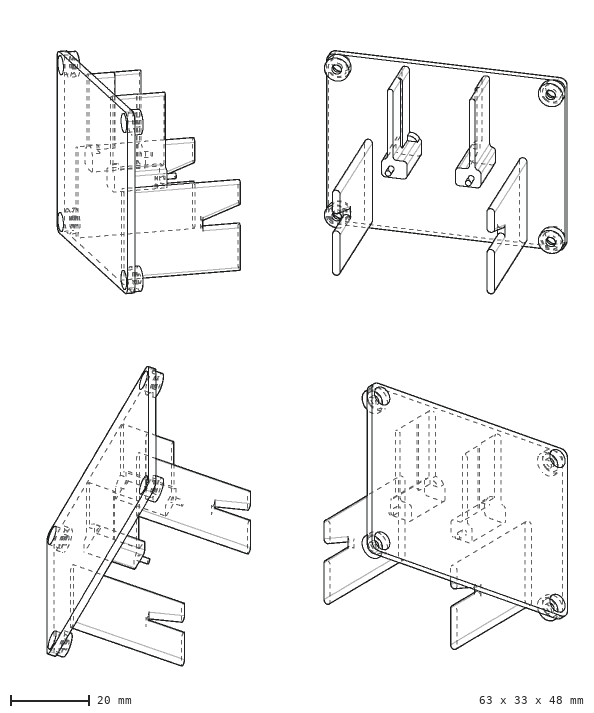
import cadquery as cq
import math

plate_width = 63.0
plate_height = 48.0
plate_thickness = 2.0
corner_radius = 2.0

boss_diameter = 6.5
boss_top = 4.15
head_diameter = 4.9
head_depth = 3.0
screw_diameter = 2.5

wall_thickness = 2.0
edge_radius = wall_thickness / 2

side_wall_x = 10.1
side_wall_bottom = 1.0
side_wall_top = 25.1
side_wall_end = 33.0
notch_floor_y = 23.05
notch_bottom = 13.55
notch_inner_top = 14.9
notch_outer_top = 18.4

bracket_end = 16.0
foot_left = 18.4
foot_width = 6.75
foot_top = 27.0
foot_overhang = 1.5
upright_top = 46.95
upright_x = foot_left + foot_overhang
thin_wall = 1.5
thin_wall_start = 8.95

pin_diameter = 1.5
pin_end = 18.95
pin_x = upright_x + wall_thickness / 2
pin_z = 24.5
pad_diameter = 4.9
pad_x = 22.3
pad_z = foot_top - edge_radius

foot_height = 2 * (foot_top - pin_z)


def bar(x, z, width, height, y_start, y_end, radius):
    """Rectangular bar along Y with its four long edges rounded."""
    block = cq.Workplane("XY").box(width, y_end - y_start, height, centered=False)
    return block.edges("|Y").fillet(radius).translate((x, y_start, z))


def stadium(x, z, width, height, y_start, y_end):
    """Upright wall along Y with fully rounded top and bottom edges."""
    profile = cq.Workplane("XZ", origin=(x + width / 2, y_start, z + height / 2))
    return profile.slot2D(height, width, 90).extrude(y_start - y_end)


def cylinder(x, z, diameter, y_start, y_end):
    """Round bar along Y."""
    circle = cq.Workplane("XZ", origin=(x, y_start, z)).circle(diameter / 2)
    return circle.extrude(y_start - y_end)


def side_wall():
    """Notched wall; every long edge, including the notch lips, is fully rounded."""
    height = side_wall_top - side_wall_bottom
    wall = stadium(side_wall_x, side_wall_bottom, wall_thickness, height, 0, side_wall_end)
    arm_length = side_wall_end - notch_floor_y
    arm_space = cq.Workplane("XY").box(wall_thickness, arm_length, height, centered=False)
    arm_space = arm_space.translate((side_wall_x, notch_floor_y, side_wall_bottom))
    root = wall.cut(arm_space)
    lower_height = notch_bottom - side_wall_bottom
    lower_arm = stadium(side_wall_x, side_wall_bottom, wall_thickness, lower_height, 0, side_wall_end)

    slope = math.degrees(math.atan2(notch_outer_top - notch_inner_top, arm_length))
    sloped_bar = stadium(side_wall_x, 0, wall_thickness, height, -side_wall_end, side_wall_end)
    sloped_bar = sloped_bar.rotate((0, 0, 0), (1, 0, 0), slope)
    sloped_bar = sloped_bar.translate((0, notch_floor_y, notch_inner_top))
    upper_arm = wall.intersect(arm_space).intersect(sloped_bar)
    return root.union(lower_arm).union(upper_arm)


def upright():
    """Upright wall, thinner on its inner side towards the free end."""
    height = upright_top - pin_z
    thick = stadium(upright_x, pin_z, wall_thickness, height, 0, thin_wall_start)
    thin = stadium(upright_x, pin_z, thin_wall, height, 0, bracket_end)
    return thick.union(thin)


def outer_cove():
    """Concave blend from the upright's outer face down to the rounded foot edge."""
    foot_arc_x = foot_left + edge_radius
    foot_arc_z = foot_top - edge_radius
    cove_x = upright_x - edge_radius
    cove_z = foot_arc_z + math.sqrt((2 * edge_radius) ** 2 - (foot_arc_x - cove_x) ** 2)
    touch_x = (foot_arc_x + cove_x) / 2
    touch_z = (foot_arc_z + cove_z) / 2
    half_angle = math.atan2(touch_z - cove_z, touch_x - cove_x) / 2
    middle = (cove_x + edge_radius * math.cos(half_angle), cove_z + edge_radius * math.sin(half_angle))
    return (
        cq.Workplane("XZ")
        .moveTo(upright_x, cove_z)
        .threePointArc(middle, (touch_x, touch_z))
        .lineTo(touch_x, foot_arc_z)
        .lineTo(pin_x, foot_arc_z)
        .lineTo(pin_x, cove_z)
        .close()
        .extrude(-bracket_end)
    )


def inner_cove():
    """Concave blend from the thin wall's inner face to the top of the foot."""
    wall_x = upright_x + thin_wall
    reach = edge_radius * (1 - math.sqrt(0.5))
    return (
        cq.Workplane("XZ")
        .moveTo(wall_x, foot_top + edge_radius)
        .threePointArc((wall_x + reach, foot_top + reach), (wall_x + edge_radius, foot_top))
        .lineTo(wall_x, foot_top - edge_radius)
        .lineTo(pin_x, foot_top)
        .lineTo(pin_x, foot_top + edge_radius)
        .close()
        .extrude(-bracket_end)
    )


def bracket():
    """Left bracket: foot, blended upright, base pad and locating pin."""
    foot = bar(foot_left, foot_top - foot_height, foot_width, foot_height, 0, bracket_end, edge_radius)
    body = foot.union(upright()).union(outer_cove()).union(inner_cove())
    body = body.union(cylinder(pad_x, pad_z, pad_diameter, 0, boss_top))
    return body.union(cylinder(pin_x, pin_z, pin_diameter, 0, pin_end))


result = bar(0, 0, plate_width, plate_height, 0, plate_thickness, corner_radius)
for feature in (side_wall(), bracket()):
    mirrored = feature.mirror("YZ").translate((plate_width, 0, 0))
    result = result.union(feature).union(mirrored)

inset = boss_diameter / 2
for x in (inset, plate_width - inset):
    for z in (inset, plate_height - inset):
        result = result.union(cylinder(x, z, boss_diameter, plate_thickness, boss_top))
        result = result.cut(cylinder(x, z, head_diameter, 0, head_depth))
        result = result.cut(cylinder(x, z, screw_diameter, 0, boss_top))